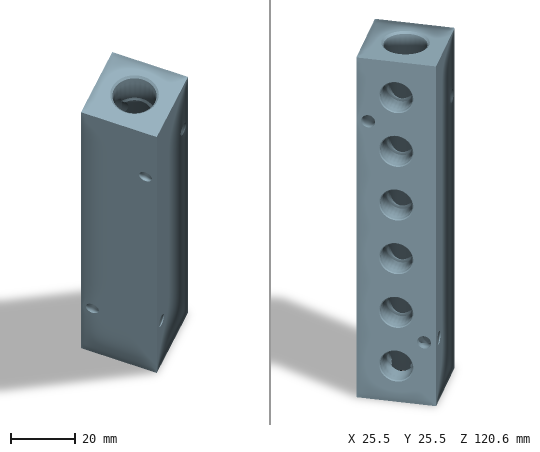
import cadquery as cq

height = 120.6
side = 25.5

pipe_taper = 1 / 16

bore_diameter = 11.1
socket_diameter = 13.8
socket_depth = 10.1
socket_mouth_diameter = 15.1

port_count = 6
port_pitch = 19.1
port_diameter = 8.2
port_socket_diameter = 10.4
port_socket_depth = 6.9
port_mouth_diameter = 11.0

mount_diameter = 4.3
mount_offset = 8.9
mount_height = (port_count - 2) * port_pitch / 2


def tapered_socket(diameter, depth, mouth_diameter):
    """Blind tapered socket from z = 0 down to -depth, chamfered at its mouth.

    The diameter is that of the taper extended up to z = 0.
    """
    chamfer = (mouth_diameter - diameter) / 2
    chamfer_end_radius = (diameter - pipe_taper * chamfer) / 2
    floor_radius = (diameter - pipe_taper * depth) / 2
    profile = [
        (0, 0),
        (mouth_diameter / 2, 0),
        (chamfer_end_radius, -chamfer),
        (floor_radius, -depth),
        (0, -depth),
    ]
    return cq.Workplane("XZ").polyline(profile).close().revolve(360, (0, 0, 0), (0, 1, 0))


def supply_bore():
    """Through bore with identical sockets at the top and bottom."""
    top_socket = tapered_socket(socket_diameter, socket_depth, socket_mouth_diameter)
    top_socket = top_socket.translate((0, 0, height / 2))
    bottom_socket = top_socket.mirror("XY")
    bore = cq.Workplane("XY").circle(bore_diameter / 2).extrude(height / 2, both=True)
    return bore.union(top_socket).union(bottom_socket)


def outlet_port(z):
    """Stepped port from the -X face to the centre line of the supply bore."""
    drilling = cq.Workplane("XY").circle(port_diameter / 2).extrude(-side / 2)
    port_socket = tapered_socket(port_socket_diameter, port_socket_depth, port_mouth_diameter)
    port = drilling.union(port_socket)
    return port.rotate((0, 0, 0), (0, 1, 0), -90).translate((-side / 2, 0, z))


def mounting_hole(plane, offset, z):
    """Hole through the whole block, normal to the given plane."""
    hole = cq.Workplane(plane).center(offset, z).circle(mount_diameter / 2)
    return hole.extrude(side, both=True)


result = cq.Workplane("XY").box(side, side, height).cut(supply_bore())

for index in range(port_count):
    port_height = (index - (port_count - 1) / 2) * port_pitch
    result = result.cut(outlet_port(port_height))

for sign in (1, -1):
    for plane in ("XZ", "YZ"):
        result = result.cut(mounting_hole(plane, sign * mount_offset, sign * mount_height))